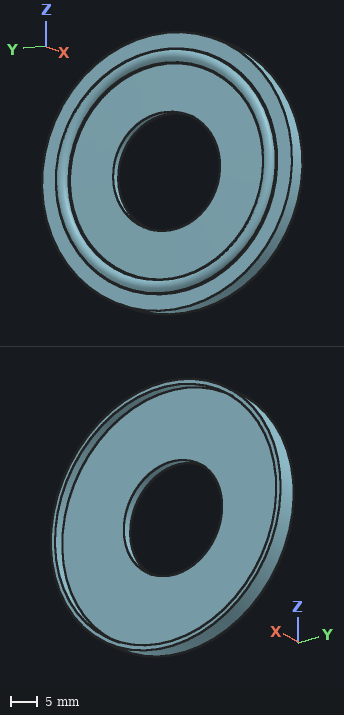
import cadquery as cq

outer_radius = 52.5 / 2
bore_radius = 22.4 / 2
rim_thickness = 4.25

bead_height = 1.55
bead_crown_radius = 43.5 / 2
bead_round = 1.25
bead_foot_half_width = 1.4

bore_rise = 0.17

web_thickness = 1.93
lip_width = 1.0

bead_shoulder_x = bead_round - bead_height
recess_radius = outer_radius - lip_width


def half_section():
    """Closed outline of the ring: X along the axis, radius along Z."""
    return (
        cq.Workplane("XZ")
        .moveTo(-bore_rise, bore_radius)
        .lineTo(web_thickness, bore_radius)
        .lineTo(web_thickness, recess_radius)
        .lineTo(rim_thickness, recess_radius)
        .lineTo(rim_thickness, outer_radius)
        .lineTo(0, outer_radius)
        .lineTo(0, bead_crown_radius + bead_foot_half_width)
        .lineTo(bead_shoulder_x, bead_crown_radius + bead_round)
        .threePointArc(
            (-bead_height, bead_crown_radius),
            (bead_shoulder_x, bead_crown_radius - bead_round),
        )
        .lineTo(0, bead_crown_radius - bead_foot_half_width)
        .close()
    )


result = half_section().revolve(360, (0, 0, 0), (1, 0, 0))